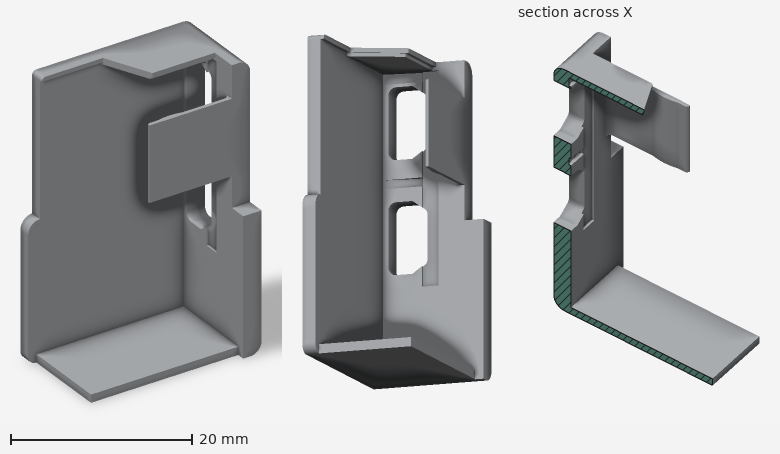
import cadquery as cq
import math

width = 13.45
depth = 23.0
height = 36.04

side_wall_thickness = 1.55
front_step_depth = 1.55
shoulder_z = 18.0
back_corner_radius = 1.5
foot_radius = 1.04
top_front_radius = 0.5

back_wall_thickness = 2.43
back_wall_face_y = depth - back_wall_thickness
upper_back_width = 11.17

bottom_thickness = 1.04
bottom_width = 12.45
bottom_front_y = 1.08

top_thickness = 0.54
top_strip_width = 1.94
top_slope_start_y = 9.65
top_slope_end_y = 12.3
top_back_width = 7.8
lip_thickness = 0.4
lip_inset = 0.39
lip_bottom_z = height - top_thickness - lip_thickness

slot_left_x = 6.15
slot_right_x = 8.08
slot_bottom_z = 10.9
slot_depth = 0.3
groove_spans = [(22.2, 23.2), (33.95, lip_bottom_z)]
groove_ramp_end_x = 5.8
groove_depth = 0.6
groove_end_radius = slot_left_x - groove_ramp_end_x

window_left_x = 2.18
window_right_x = 6.67
window_height = 8.2
window_bottoms = [12.43, 25.38]
window_chamfer_x = 1.65
window_chamfer_z = 1.15
window_left_radius = 0.9
window_right_radius = 0.7

flap_thickness = 0.48
flap_left_x = upper_back_width - flap_thickness
flap_front_y = 9.65
flap_bottom_z = 22.0
flap_top_z = 31.8
flap_tip_radius = 0.35
flap_root_radius = 0.72
bump_center_y = 12.7
bump_half_length = 1.7
bump_height = 0.2


def box(x_range, y_range, z_range):
    """Box between the given limits along each axis."""
    sizes = [high - low for low, high in (x_range, y_range, z_range)]
    corner = (x_range[0], y_range[0], z_range[0])
    return cq.Workplane("XY").box(*sizes, centered=False).translate(corner)


def side_profile(thickness):
    """Side outline, extruded along +X from the YZ plane, with its corners rounded.

    The shoulder is a quarter circle as wide as the front step.
    """
    step = front_step_depth
    shoulder_offset = step * (1 - math.sqrt(0.5))
    profile = (
        cq.Workplane("YZ")
        .moveTo(0, 0)
        .lineTo(depth, 0)
        .lineTo(depth, height)
        .lineTo(step, height)
        .lineTo(step, shoulder_z)
        .threePointArc((shoulder_offset, shoulder_z - shoulder_offset), (0, shoulder_z - step))
        .close()
        .extrude(thickness)
    )
    corners = [
        (0, 0, foot_radius),
        (step, height, top_front_radius),
        (depth, 0, back_corner_radius),
        (depth, height, back_corner_radius),
    ]
    for y, z, radius in corners:
        nearest = cq.selectors.NearestToPointSelector((thickness / 2, y, z))
        profile = profile.edges("|X").edges(nearest).fillet(radius)
    return profile


def top_layer(inset, bottom_z, thickness):
    """Top plate outline, moved toward the side wall by the inset."""
    strip_x = top_strip_width - inset
    back_x = top_back_width - inset
    return (
        cq.Workplane("XY", origin=(0, 0, bottom_z))
        .polyline([
            (0, front_step_depth),
            (strip_x, front_step_depth),
            (strip_x, top_slope_start_y),
            (back_x, top_slope_end_y),
            (back_x, depth),
            (0, depth),
        ])
        .close()
        .extrude(thickness)
    )


def shell():
    """Side wall, back wall, bottom plate and top plate, trimmed to the side outline."""
    lower_back = box((0, width), (back_wall_face_y, depth), (0, shoulder_z))
    upper_back = box((0, upper_back_width), (back_wall_face_y, depth), (0, height))
    bottom = box((0, bottom_width), (bottom_front_y, depth), (0, bottom_thickness))
    top = top_layer(0, height - top_thickness, top_thickness)
    lip = top_layer(lip_inset, lip_bottom_z, lip_thickness)
    plates = lower_back.union(upper_back).union(bottom).union(top).union(lip)
    return plates.intersect(side_profile(width)).union(side_profile(side_wall_thickness))


def flap():
    """Vertical flap with a rounded tip, a shallow bump and a root fillet on its -X face."""
    diagonal = math.sqrt(0.5)
    tip_mid_offset = flap_tip_radius * (1 - diagonal)
    root_mid_offset = flap_root_radius * (1 - diagonal)
    return (
        cq.Workplane("XY", origin=(0, 0, flap_bottom_z))
        .moveTo(upper_back_width, depth - back_corner_radius)
        .lineTo(upper_back_width, flap_front_y)
        .lineTo(flap_left_x + flap_tip_radius, flap_front_y)
        .threePointArc(
            (flap_left_x + tip_mid_offset, flap_front_y + tip_mid_offset),
            (flap_left_x, flap_front_y + flap_tip_radius),
        )
        .lineTo(flap_left_x, bump_center_y - bump_half_length)
        .threePointArc(
            (flap_left_x - bump_height, bump_center_y),
            (flap_left_x, bump_center_y + bump_half_length),
        )
        .lineTo(flap_left_x, back_wall_face_y - flap_root_radius)
        .threePointArc(
            (flap_left_x - root_mid_offset, back_wall_face_y - root_mid_offset),
            (flap_left_x - flap_root_radius, back_wall_face_y),
        )
        .lineTo(flap_left_x - flap_root_radius, depth - back_corner_radius)
        .close()
        .extrude(flap_top_z - flap_bottom_z)
    )


def window(bottom_z):
    """Cutter for one window: rounded on the left, chamfered and rounded on the right."""
    top_z = bottom_z + window_height
    chamfer_x = window_right_x - window_chamfer_x
    cutter = (
        cq.Workplane("XZ", origin=(0, depth, 0))
        .polyline([
            (window_left_x, bottom_z),
            (chamfer_x, bottom_z),
            (window_right_x, bottom_z + window_chamfer_z),
            (window_right_x, top_z - window_chamfer_z),
            (chamfer_x, top_z),
            (window_left_x, top_z),
        ])
        .close()
        .extrude(back_wall_thickness)
    )
    cutter = cutter.edges("|Y and <X").fillet(window_left_radius)
    return cutter.edges("|Y and >X").fillet(window_right_radius)


def groove(bottom_z, top_z):
    """Cutter that deepens away from the side wall and curves back up at the slot."""
    floor_y = back_wall_face_y + groove_depth
    arc_reach = groove_end_radius * math.sqrt(0.5)
    return (
        cq.Workplane("XY", origin=(0, 0, bottom_z))
        .moveTo(side_wall_thickness, back_wall_face_y)
        .lineTo(groove_ramp_end_x, floor_y)
        .threePointArc(
            (groove_ramp_end_x + arc_reach, floor_y - groove_end_radius + arc_reach),
            (slot_left_x, floor_y - groove_end_radius),
        )
        .lineTo(slot_left_x, back_wall_face_y)
        .close()
        .extrude(top_z - bottom_z)
    )


def slot():
    """Cutter for the shallow upright slot."""
    return box(
        (slot_left_x, slot_right_x),
        (back_wall_face_y, back_wall_face_y + slot_depth),
        (slot_bottom_z, lip_bottom_z),
    )


result = shell().union(flap()).cut(slot())
for groove_bottom, groove_top in groove_spans:
    result = result.cut(groove(groove_bottom, groove_top))
for window_bottom in window_bottoms:
    result = result.cut(window(window_bottom))